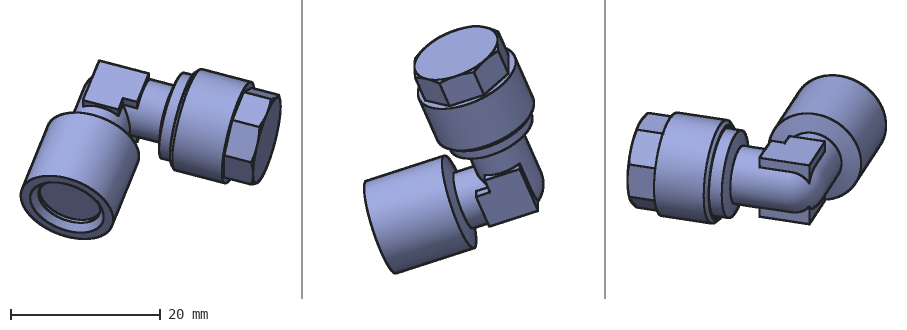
import cadquery as cq
import math

elbow_radius = 3.95

socket_radius = 6.5
socket_end = 18.97
socket_shoulder_start = 7.19
socket_shoulder_end = 7.85
mouth_radius = 5.17
bore_radius = 4.32
mouth_depth = 1.0
bore_depth = 1.5

overall_length = 28.4
arm_end = overall_length - socket_radius
collar_start = 8.12
collar_radius = 5.94
collar_cone_radius = 5.75
collar_cone_length = 0.45
collar_edge_length = 0.1
nut_start = 10.37
nut_end = 17.84
nut_diameter = 14.0
nut_radius = nut_diameter / 2
nut_chamfer = 0.5
nut_entry_radius = 6.25
nut_entry_depth = 0.3
octagon_sides = 8
half_side_angle = 180 / octagon_sides
octagon_flats = 11.87
octagon_bevel_radius = octagon_flats / 2
octagon_corner_radius = octagon_bevel_radius / math.cos(math.radians(half_side_angle))
octagon_bevel_length = 0.25

block_half_width = 2.5
block_reach = 4.5
block_half_height = 4.5


def revolve_x(points):
    """Turn an (axial position, radius) outline about the X axis."""
    return cq.Workplane("XY").polyline(points).close().revolve(360, (0, 0, 0), (1, 0, 0))


def make_elbow():
    x_arm = revolve_x([(0, 0), (0, elbow_radius), (nut_start, elbow_radius), (nut_start, 0)])
    y_arm = cq.Workplane("XZ").circle(elbow_radius).extrude(socket_shoulder_end)
    return cq.Workplane("XY").sphere(elbow_radius).union(x_arm).union(y_arm)


def make_socket():
    outline = [
        (0, -socket_shoulder_start),
        (elbow_radius, -socket_shoulder_start),
        (socket_radius, -socket_shoulder_end),
        (socket_radius, -socket_end),
        (mouth_radius, -socket_end),
        (bore_radius, -socket_end + mouth_depth),
        (bore_radius, -socket_end + bore_depth),
        (0, -socket_end + bore_depth),
    ]
    return cq.Workplane("XY").polyline(outline).close().revolve(360, (0, 0, 0), (0, 1, 0))


def make_collar_and_nut():
    cone_end = collar_start + collar_cone_length
    return revolve_x([
        (collar_start, 0),
        (collar_start, elbow_radius),
        (cone_end, collar_cone_radius),
        (cone_end + collar_edge_length, collar_radius),
        (nut_start + nut_entry_depth, collar_radius),
        (nut_start, nut_entry_radius),
        (nut_start, nut_radius - nut_chamfer),
        (nut_start + nut_chamfer, nut_radius),
        (nut_end, nut_radius),
        (nut_end, 0),
    ])


def make_octagon():
    prism = (
        cq.Workplane("YZ", origin=(nut_end, 0, 0))
        .transformed(rotate=(0, 0, half_side_angle))
        .polygon(octagon_sides, 2 * octagon_corner_radius)
        .extrude(arm_end - nut_end)
    )
    envelope = revolve_x([
        (nut_end, 0),
        (nut_end, octagon_corner_radius),
        (arm_end - octagon_bevel_length, octagon_corner_radius),
        (arm_end, octagon_bevel_radius),
        (arm_end, 0),
    ])
    return prism.intersect(envelope)


def make_block():
    outline = [
        (-block_half_width, block_half_width),
        (block_reach, block_half_width),
        (block_reach, -block_half_width),
        (block_half_width, -block_half_width),
        (block_half_width, -block_reach),
        (-block_half_width, -block_reach),
    ]
    return (
        cq.Workplane("XY", origin=(0, 0, -block_half_height))
        .polyline(outline)
        .close()
        .extrude(2 * block_half_height)
    )


result = (
    make_elbow()
    .union(make_socket())
    .union(make_collar_and_nut())
    .union(make_octagon())
    .union(make_block())
)